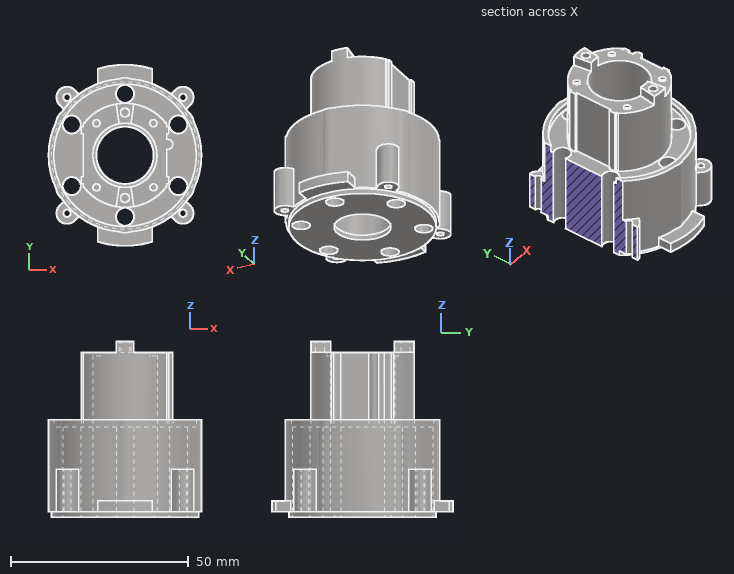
import cadquery as cq
import math

overall_height = 49.4
lip_height = 1.5
ear_height = 12.0
tab_thickness = 3.1
prong_height = 3.1
body_top = 27.4
pocket_depth = 2.0
ear_top = lip_height + ear_height
tower_top = overall_height - prong_height
pocket_floor = body_top - pocket_depth

body_radius = 21.5
lip_radius = 20.7
pocket_radius = 20.0

wall_hole_count = 6
wall_hole_circle_radius = 17.25
wall_hole_radius = 2.5
wall_swelling_radius = 4.5

ear_circle_radius = 23.0
ear_radius = 3.0
ear_hole_radius = 1.0
ear_angles = (45, 135, 225, 315)

tab_half_width = 7.65
tab_tip_radius = 25.47

tower_radius = 14.6
tower_half_width = 11.7
rib_half_width = 12.3
rib_inner_y = 6.05
rib_outer_y = 8.0
key_center_x = 12.0
key_center_y = 3.1
key_radius = 1.4

bore_radius = 9.0
bottom_bore_radius = 8.0
bore_floor = lip_height

prong_inner_half_width = 1.65
prong_inner_y = math.sqrt(bore_radius**2 - prong_inner_half_width**2)
prong_outer_half_width = 2.5
prong_hole_radius = 1.25
prong_hole_y = 12.0
prong_hole_depth = prong_height
tower_hole_radius = 1.0
tower_hole_x = 8.0
tower_hole_y = 9.0
tower_hole_depth = 1.0


def cylinder(radius, bottom, top, x=0, y=0):
    """Upright cylinder between two heights."""
    return cq.Workplane("XY", origin=(x, y, bottom)).circle(radius).extrude(top - bottom)


def block(x_min, x_max, y_min, y_max, bottom, top):
    """Box given by its limits along each axis."""
    size = (x_max - x_min, y_max - y_min, top - bottom)
    return cq.Workplane("XY").box(*size, centered=False).translate((x_min, y_min, bottom))


def polar_point(radius, angle):
    """X and Y of a point at an angle in degrees about the part's axis."""
    return radius * math.cos(math.radians(angle)), radius * math.sin(math.radians(angle))


wall_hole_places = [
    polar_point(wall_hole_circle_radius, 90 + i * 360 / wall_hole_count) for i in range(wall_hole_count)
]


def make_body():
    """Lip and round wall, swollen next to each wall hole, with the pocket sunk in its top."""
    body = cylinder(body_radius, lip_height, body_top)
    for x, y in wall_hole_places:
        body = body.union(cylinder(wall_swelling_radius, lip_height, body_top, x, y))
    body = body.union(cylinder(lip_radius, 0, lip_height))
    return body.cut(cylinder(pocket_radius, pocket_floor, body_top))


def make_ear(angle):
    """Round-ended screw ear reaching out from the body wall."""
    ear = cylinder(ear_radius, lip_height, ear_top, ear_circle_radius)
    arm = block(lip_radius - ear_radius, ear_circle_radius, -ear_radius, ear_radius, lip_height, ear_top)
    return ear.union(arm).rotate((0, 0, 0), (0, 0, 1), angle)


def make_tabs():
    """Two opposite tabs cut from one disc."""
    tab_top = lip_height + tab_thickness
    disc = cylinder(tab_tip_radius, lip_height, tab_top)
    strip = block(-tab_half_width, tab_half_width, -tab_tip_radius, tab_tip_radius, lip_height, tab_top)
    return disc.intersect(strip)


def make_tower():
    """Flat-sided tower rising from the pocket floor, with its ribs and key."""
    tower = cylinder(tower_radius, pocket_floor, tower_top)
    tower = tower.intersect(
        block(-tower_half_width, tower_half_width, -tower_radius, tower_radius, pocket_floor, tower_top)
    )
    for y_min, y_max in ((rib_inner_y, rib_outer_y), (-rib_outer_y, -rib_inner_y)):
        tower = tower.union(block(-rib_half_width, rib_half_width, y_min, y_max, pocket_floor, tower_top))
    key = cylinder(key_radius, pocket_floor, tower_top, key_center_x, key_center_y)
    key_root = block(
        0, key_center_x, key_center_y - key_radius, key_center_y + key_radius, pocket_floor, tower_top
    )
    return tower.union(key).union(key_root)


def make_prong(side):
    """Prong that widens toward the tower's rim; side is +1 for back and -1 for front."""
    wedge = (
        cq.Workplane("XY", origin=(0, 0, tower_top))
        .moveTo(-prong_inner_half_width, side * prong_inner_y)
        .lineTo(prong_inner_half_width, side * prong_inner_y)
        .lineTo(prong_outer_half_width, side * tower_radius)
        .lineTo(-prong_outer_half_width, side * tower_radius)
        .close()
        .extrude(prong_height)
    )
    return wedge.intersect(cylinder(tower_radius, tower_top, overall_height))


def cut_bore(part):
    part = part.cut(cylinder(bore_radius, bore_floor, overall_height))
    return part.cut(cylinder(bottom_bore_radius, 0, bore_floor))


def cut_holes(part):
    for x, y in wall_hole_places:
        part = part.cut(cylinder(wall_hole_radius, 0, body_top, x, y))
    for angle in ear_angles:
        x, y = polar_point(ear_circle_radius, angle)
        part = part.cut(cylinder(ear_hole_radius, lip_height, ear_top, x, y))
    for side in (-1, 1):
        hole_bottom = overall_height - prong_hole_depth
        part = part.cut(
            cylinder(prong_hole_radius, hole_bottom, overall_height, 0, side * prong_hole_y)
        )
        for x in (-tower_hole_x, tower_hole_x):
            hole_bottom = tower_top - tower_hole_depth
            part = part.cut(
                cylinder(tower_hole_radius, hole_bottom, tower_top, x, side * tower_hole_y)
            )
    return part


result = make_body().union(make_tabs()).union(make_tower())
for ear_angle in ear_angles:
    result = result.union(make_ear(ear_angle))
for prong_side in (-1, 1):
    result = result.union(make_prong(prong_side))
result = cut_holes(cut_bore(result))